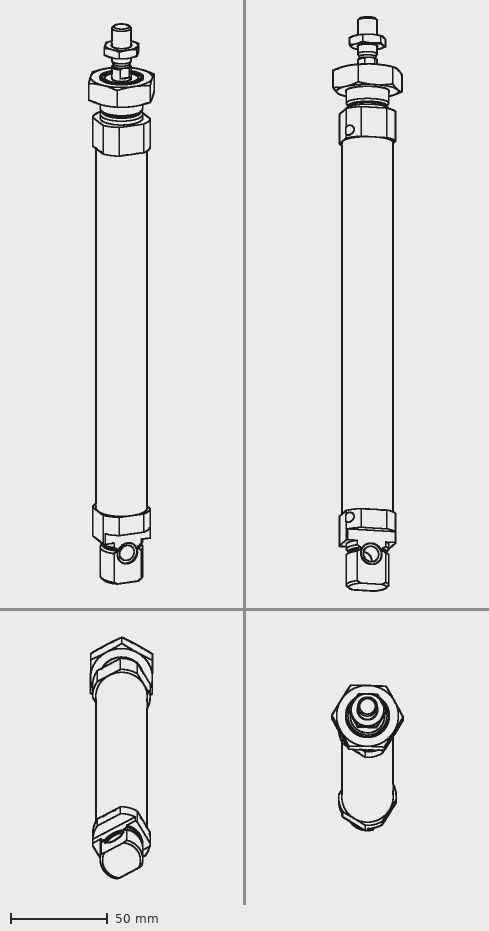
import cadquery as cq
import math

TOTAL_HEIGHT = 301.5
BARREL_DIAMETER = 26.5
CAP_CORNER_DIAMETER = 29.8
NECK_DIAMETER = 22.0
GROOVE_DIAMETER = 19.5

EYE_CHAMFER = 1.2
EYE_TOP = 17.0
EYE_COLLAR_BOTTOM = 20.2
REAR_CAP_BOTTOM = 22.5
EYE_SHOULDER = 28.3
REAR_CAP_TOP = 38.3
EYE_THICKNESS = 16.0
EYE_HOLE_DIAMETER = 8.0
EYE_COUNTERBORE_DIAMETER = 11.2
EYE_COUNTERBORE_DEPTH = 1.0
EYE_HOLE_HEIGHT = 16.0

FRONT_CAP_BOTTOM = 235.8
FRONT_CAP_TOP = 251.5
COLLAR_TOP = 253.5
NECK_BOTTOM = 256.5
NECK_TOP = 273.8
NECK_TOP_CHAMFER = 1.0
NECK_RECESS_DIAMETER = 17.8
NECK_RECESS_DEPTH = 0.5

SCREW_HOLE_DIAMETER = 5.0
SCREW_HOLE_OFFSET = 8.5
SCREW_HOLE_DEPTH = 6.0
SCREW_HOLE_HEIGHTS = (34.5, 239.7)

ROD_DIAMETER = 10.0
ROD_END_CHAMFER = 1.0
ROD_BOTTOM = FRONT_CAP_BOTTOM
ROD_FLATS_WIDTH = 8.5
ROD_FLATS_BOTTOM = 274.7
ROD_FLATS_TOP = 280.0
ROD_GROOVE_TOP = 281.3
ROD_THREAD_END = 282.8
ROD_GROOVE_DIAMETER = 8.7

NECK_NUT_WIDTH = 32.0
NECK_NUT_BOTTOM = 263.0
NECK_NUT_TOP = NECK_TOP
ROD_NUT_WIDTH = 17.0
ROD_NUT_BOTTOM = 286.7
ROD_NUT_TOP = 291.2
NUT_CHAMFER_ANGLE = 20.0
NUT_BORE_CHAMFER = 0.3


def cylinder(diameter, bottom, top):
    return cq.Workplane("XY").workplane(offset=bottom).circle(diameter / 2).extrude(top - bottom)


def revolved(profile):
    """Turn a list of (radius, height) points around the Z axis."""
    return cq.Workplane("XZ").polyline(profile).close().revolve(360, (0, 0), (0, 1))


def end_cap(bottom, top):
    """Round block with four flats."""
    flats = (
        cq.Workplane("XY")
        .workplane(offset=bottom)
        .rect(BARREL_DIAMETER, BARREL_DIAMETER)
        .extrude(top - bottom)
    )
    return cylinder(CAP_CORNER_DIAMETER, bottom, top).intersect(flats)


def stem_with_groove(cap_face, groove_start, groove_end):
    """Outline from an end cap along a stem: plain collar, then a groove with sloping flanks."""
    stem = NECK_DIAMETER / 2
    groove = GROOVE_DIAMETER / 2
    flank = math.copysign(stem - groove, groove_end - groove_start)
    return [
        (stem, cap_face),
        (stem, groove_start),
        (groove, groove_start + flank),
        (groove, groove_end - flank),
        (stem, groove_end),
    ]


def threaded_neck():
    """Neck on the front cap, with a shallow recess in its end face."""
    neck = NECK_DIAMETER / 2
    blank = revolved([
        (0, FRONT_CAP_TOP),
        *stem_with_groove(FRONT_CAP_TOP, COLLAR_TOP, NECK_BOTTOM),
        (neck, NECK_TOP - NECK_TOP_CHAMFER),
        (neck - NECK_TOP_CHAMFER, NECK_TOP),
        (0, NECK_TOP),
    ])
    return blank.cut(cylinder(NECK_RECESS_DIAMETER, NECK_TOP - NECK_RECESS_DEPTH, NECK_TOP))


def eye_blank():
    """Turned stem under the rear cap, before its sides are cut flat."""
    stem = NECK_DIAMETER / 2
    return revolved([
        (0, REAR_CAP_BOTTOM),
        *stem_with_groove(REAR_CAP_BOTTOM, EYE_COLLAR_BOTTOM, EYE_TOP),
        (stem, EYE_CHAMFER),
        (stem - EYE_CHAMFER, 0),
        (0, 0),
    ])


def eye_side_cuts():
    """Material removed on both sides of the eye plate."""
    outside = cq.Workplane("XY").rect(CAP_CORNER_DIAMETER, CAP_CORNER_DIAMETER).extrude(EYE_SHOULDER)
    plate = cq.Workplane("XY").rect(EYE_THICKNESS, CAP_CORNER_DIAMETER).extrude(EYE_SHOULDER)
    return outside.cut(plate)


def eye_hole():
    """Cross hole along X with a shallow counterbore at both ends."""
    face = EYE_THICKNESS / 2
    hole = cq.Workplane("YZ").circle(EYE_HOLE_DIAMETER / 2).extrude(face, both=True)
    counterbore = (
        cq.Workplane("YZ")
        .workplane(offset=face - EYE_COUNTERBORE_DEPTH)
        .circle(EYE_COUNTERBORE_DIAMETER / 2)
        .extrude(EYE_COUNTERBORE_DEPTH)
    )
    hole = hole.union(counterbore).union(counterbore.mirror("YZ"))
    return hole.translate((0, 0, EYE_HOLE_HEIGHT))


def screw_hole(height):
    """Blind hole running in from the +Y side."""
    flat = BARREL_DIAMETER / 2
    return (
        cq.Workplane("XZ", origin=(-SCREW_HOLE_OFFSET, flat, height))
        .circle(SCREW_HOLE_DIAMETER / 2)
        .extrude(SCREW_HOLE_DEPTH)
    )


def make_housing():
    housing = (
        cylinder(BARREL_DIAMETER, REAR_CAP_TOP, FRONT_CAP_BOTTOM)
        .union(end_cap(FRONT_CAP_BOTTOM, FRONT_CAP_TOP))
        .union(threaded_neck())
        .union(end_cap(REAR_CAP_BOTTOM, REAR_CAP_TOP))
        .union(eye_blank())
        .cut(eye_side_cuts())
        .cut(eye_hole())
        .cut(cylinder(ROD_DIAMETER, ROD_BOTTOM, NECK_TOP))
    )
    for height in SCREW_HOLE_HEIGHTS:
        housing = housing.cut(screw_hole(height))
    return housing


def make_piston_rod():
    radius = ROD_DIAMETER / 2
    groove = ROD_GROOVE_DIAMETER / 2
    rod = revolved([
        (0, ROD_BOTTOM),
        (radius, ROD_BOTTOM),
        (radius, ROD_FLATS_TOP - (radius - groove)),
        (groove, ROD_FLATS_TOP),
        (groove, ROD_GROOVE_TOP),
        (radius, ROD_THREAD_END),
        (radius, TOTAL_HEIGHT - ROD_END_CHAMFER),
        (radius - ROD_END_CHAMFER, TOTAL_HEIGHT),
        (0, TOTAL_HEIGHT),
    ])
    flats = (
        cq.Workplane("XY")
        .workplane(offset=ROD_FLATS_BOTTOM)
        .rect(ROD_FLATS_WIDTH, ROD_DIAMETER)
        .extrude(ROD_FLATS_TOP - ROD_FLATS_BOTTOM)
    )
    flat_cuts = cylinder(ROD_DIAMETER, ROD_FLATS_BOTTOM, ROD_FLATS_TOP).cut(flats)
    return rod.cut(flat_cuts)


def make_nut(width, bore, bottom, top):
    """Hexagon nut with two flats facing X, its corners and its bore chamfered at both ends."""
    half_side_angle = 30
    corner_radius = width / 2 / math.cos(math.radians(half_side_angle))
    drop = (corner_radius - width / 2) * math.tan(math.radians(NUT_CHAMFER_ANGLE))
    hexagon = (
        cq.Workplane("XY")
        .workplane(offset=bottom)
        .polygon(6, 2 * corner_radius)
        .extrude(top - bottom)
        .rotate((0, 0, 0), (0, 0, 1), half_side_angle)
    )
    corner_chamfers = revolved([
        (0, bottom),
        (width / 2, bottom),
        (corner_radius, bottom + drop),
        (corner_radius, top - drop),
        (width / 2, top),
        (0, top),
    ])
    bore_radius = bore / 2
    hole = revolved([
        (0, bottom),
        (bore_radius + NUT_BORE_CHAMFER, bottom),
        (bore_radius, bottom + NUT_BORE_CHAMFER),
        (bore_radius, top - NUT_BORE_CHAMFER),
        (bore_radius + NUT_BORE_CHAMFER, top),
        (0, top),
    ])
    return hexagon.intersect(corner_chamfers).cut(hole)


housing = make_housing()
piston_rod = make_piston_rod()
neck_nut = make_nut(NECK_NUT_WIDTH, NECK_DIAMETER, NECK_NUT_BOTTOM, NECK_NUT_TOP)
rod_nut = make_nut(ROD_NUT_WIDTH, ROD_DIAMETER, ROD_NUT_BOTTOM, ROD_NUT_TOP)

result = cq.Compound.makeCompound([
    housing.val(),
    piston_rod.val(),
    neck_nut.val(),
    rod_nut.val(),
])